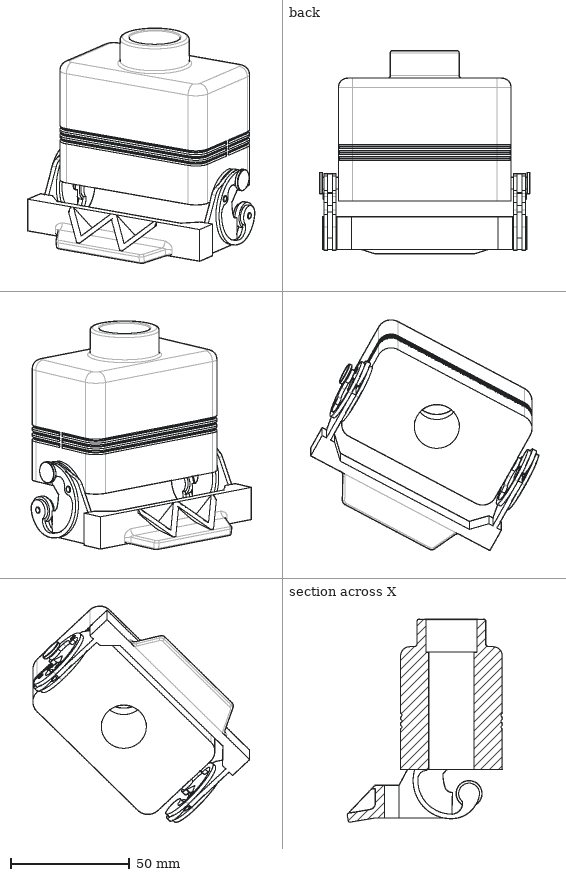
import cadquery as cq
import math

HOOD_LENGTH = 73.0
HOOD_WIDTH = 43.1
HOOD_HEIGHT = 52.0
HOOD_CORNER_RADIUS = 6.0
HOOD_TOP_RADIUS = 4.0

GROOVE_COUNT = 3
GROOVE_PITCH = 2.5
LOWEST_GROOVE_Z = 18.0
GROOVE_MOUTH = 1.7
GROOVE_FLOOR = 0.4
GROOVE_DEPTH = 0.6
GROOVE_GAP = 1.6

ENTRY_RADIUS = 14.6
ENTRY_HEIGHT = 11.6
ENTRY_ROUNDING = 1.0
BORE_RADIUS = 10.7
BORE_DEPTH = 14.0
BORE_EDGE_RADIUS = 0.4
HOLE_RADIUS = 9.5

PIVOT_Z = 7.6
PIN_RADIUS = 2.5
PIN_HEAD_RADIUS = 4.55
PIN_HEAD_THICKNESS = 1.4
PIN_HEAD_EDGE = 0.2
PIN_TIP_X = 44.5

BAR_LENGTH = 86.2
BAR_BACK_Y = -22.1
BAR_FRONT_Y = -32.2
BAR_TOP_Z = -6.5
BAR_BOTTOM_Z = -20.47
BAR_WEB = 4.0
BAR_END_LENGTH = 6.0

ARM_X = 40.0
ARM_THICKNESS = 2.0
HOOK_THICKNESS = 1.6
PIVOT_EYE_RADIUS = 4.0

HOOK_CENTER_Z = -4.58
HOOK_OUTER_RADIUS = PIVOT_Z + PIVOT_EYE_RADIUS - HOOK_CENTER_Z
HOOK_BAND = 2.0
HOOK_INNER_RADIUS = HOOK_OUTER_RADIUS - HOOK_BAND
HOOK_BOTTOM_Z = HOOK_CENTER_Z - HOOK_OUTER_RADIUS
HOOK_EYE_RADIUS = 4.4
HOOK_EYE = (7.45, -10.1)
THROAT_RADIUS = 4.7
HOOK_PIVOT_RADIUS = 3.0
ROLLER_RADIUS = 5.5
NECK_RADIUS = 3.3
NECK_Z = 6.5

BAND_END_ANGLE = 177

SHOULDER_START = (-13.6, 6.8)
SHOULDER_END = (-16.3, 4.4)
HEEL_BOTTOM = (0.2, BAR_BOTTOM_Z)
HEEL_TOP = (0.5, -9.6)
HEEL_MIDDLE = (-1.5, -9.0)
HEEL_END = (-2.6, -7.7)
MOUTH_MIDDLE = (-3.3, -4.8)
MOUTH_END = (-3.55, -1.8)
JAW = (1.2, 3.2)

RIVET = (-11.65, 2.0)
RIVET_BOSS_RADIUS = 2.5
RIVET_RADIUS = 1.35
RIVET_PROUD = 0.3
RIVET_EDGE = 0.2

TAB_TILT = 9.6
TAB_REACH = 11.49
TAB_THICKNESS = 4.0
TAB_ROOT_HALF_WIDTH = 27.4
TAB_TIP_HALF_WIDTH = 21.5
TAB_CORNER_RADIUS = 2.0
TAB_EDGE_RADIUS = 0.8
TAB_ROOT_FILLET = 2.6
TAB_ROOT_DEPTH = 1.5

RIB_PITCH = 21.5
RIB_SLOPE = 0.8
RIB_TIP_DROP = 10.1
RIB_NOTCH_DROP = 7.5
RIB_REACH = 11.1
RIB_FALL = 11.6

OVERLAP = 1.0
TOLERANCE = 0.01


def groove_ring(level):
    """Cutter along the hood outline, widest at the surface, open at the middle of both short sides."""
    mouth = GROOVE_MOUTH / 2
    floor = GROOVE_FLOOR / 2
    outline = (
        cq.Workplane("XY", origin=(0, 0, level))
        .sketch()
        .rect(HOOD_LENGTH, HOOD_WIDTH)
        .vertices()
        .fillet(HOOD_CORNER_RADIUS)
        .finalize()
    )
    path = outline.extrude(OVERLAP).faces("<Z").wires().val()
    start_plane = cq.Plane(origin=path.startPoint(), xDir=(0, 0, 1), normal=path.tangentAt(0))
    cutter = (
        cq.Workplane(start_plane)
        .polyline([
            (-mouth, 0), (-floor, GROOVE_DEPTH), (floor, GROOVE_DEPTH),
            (mouth, 0), (floor, -GROOVE_DEPTH), (-floor, -GROOVE_DEPTH),
        ])
        .close()
        .sweep(cq.Workplane(path))
    )
    gap = cq.Workplane("XY", origin=(0, 0, level)).box(2 * HOOD_LENGTH, GROOVE_GAP, 2 * GROOVE_MOUTH)
    return cutter.cut(gap)


def make_hood():
    hood = cq.Workplane("XY").rect(HOOD_LENGTH, HOOD_WIDTH).extrude(HOOD_HEIGHT)
    hood = hood.edges("|Z").fillet(HOOD_CORNER_RADIUS)
    hood = hood.faces(">Z").edges().fillet(HOOD_TOP_RADIUS)
    for index in range(GROOVE_COUNT):
        hood = hood.cut(groove_ring(LOWEST_GROOVE_Z + index * GROOVE_PITCH))
    return hood


def add_cable_entry(hood):
    """Round neck with a stepped through bore, blended into the hood top."""
    top = HOOD_HEIGHT + ENTRY_HEIGHT
    r = ENTRY_ROUNDING
    dip = r * (1 - math.sqrt(0.5))
    neck = (
        cq.Workplane("XZ")
        .moveTo(0, HOOD_HEIGHT - OVERLAP)
        .lineTo(ENTRY_RADIUS + r, HOOD_HEIGHT - OVERLAP)
        .lineTo(ENTRY_RADIUS + r, HOOD_HEIGHT)
        .threePointArc((ENTRY_RADIUS + dip, HOOD_HEIGHT + dip), (ENTRY_RADIUS, HOOD_HEIGHT + r))
        .lineTo(ENTRY_RADIUS, top - r)
        .threePointArc((ENTRY_RADIUS - dip, top - dip), (ENTRY_RADIUS - r, top))
        .lineTo(0, top)
        .close()
        .revolve(360, (0, 0, 0), (0, 1, 0))
    )
    bore = cq.Workplane("XY", origin=(0, 0, top - BORE_DEPTH)).circle(BORE_RADIUS).extrude(BORE_DEPTH)
    hole = cq.Workplane("XY").circle(HOLE_RADIUS).extrude(top)
    body = hood.union(neck).cut(bore).cut(hole)
    mouth = cq.selectors.RadiusNthSelector(0)
    return body.faces(">Z").edges(mouth).fillet(BORE_EDGE_RADIUS)


def side_plane(x):
    """Sketch plane facing +X: sketch coordinates are (Y, Z)."""
    return cq.Workplane("YZ", origin=(x, 0, 0))


def side_disc(center, radius, x_start, x_end):
    return side_plane(x_start).center(*center).circle(radius).extrude(x_end - x_start)


def on_circle(center, radius, angle):
    """Point at an angle in degrees, counted from +Y towards +Z."""
    a = math.radians(angle)
    return (center[0] + radius * math.cos(a), center[1] + radius * math.sin(a))


def hook_plate(x_start):
    """C-shaped hook: pivot eye, circular band with rivet boss, and eye at the free end."""
    center = (0, HOOK_CENTER_Z)
    x_end = x_start + HOOK_THICKNESS

    rise = HOOK_EYE[1] - HOOK_BOTTOM_Z
    sweep_radius = (HOOK_EYE[0] ** 2 + rise ** 2 - HOOK_EYE_RADIUS ** 2) / (2 * (rise - HOOK_EYE_RADIUS))
    sweep_center = (0, HOOK_BOTTOM_Z + sweep_radius)
    touch_angle = math.degrees(math.atan2(HOOK_EYE[1] - sweep_center[1], HOOK_EYE[0]))
    touch = on_circle(sweep_center, sweep_radius, touch_angle)

    throat_center = (0, HOOK_CENTER_Z - HOOK_INNER_RADIUS + THROAT_RADIUS)
    neck_center = (RIVET[0] + RIVET_BOSS_RADIUS + NECK_RADIUS, NECK_Z - NECK_RADIUS)
    band_start = on_circle(center, HOOK_INNER_RADIUS, BAND_END_ANGLE)
    band = (
        side_plane(x_start)
        .moveTo(0, PIVOT_Z + PIVOT_EYE_RADIUS)
        .threePointArc((-HOOK_OUTER_RADIUS, HOOK_CENTER_Z), (0, HOOK_BOTTOM_Z))
        .threePointArc(on_circle(sweep_center, sweep_radius, (touch_angle - 90) / 2), touch)
        .lineTo(*HOOK_EYE)
        .lineTo(THROAT_RADIUS, HOOK_EYE[1])
        .lineTo(THROAT_RADIUS, throat_center[1])
        .threePointArc(on_circle(throat_center, THROAT_RADIUS, -45),
                       (0, HOOK_CENTER_Z - HOOK_INNER_RADIUS))
        .threePointArc(on_circle(center, HOOK_INNER_RADIUS, 225), band_start)
        .tangentArcPoint(on_circle(RIVET, RIVET_BOSS_RADIUS, 270), relative=False)
        .threePointArc(on_circle(RIVET, RIVET_BOSS_RADIUS, 315), on_circle(RIVET, RIVET_BOSS_RADIUS, 0))
        .lineTo(neck_center[0] - NECK_RADIUS, neck_center[1])
        .threePointArc(on_circle(neck_center, NECK_RADIUS, 135), (neck_center[0], NECK_Z))
        .lineTo(0, NECK_Z)
        .close()
        .extrude(HOOK_THICKNESS)
    )
    pivot_eye = side_disc((0, PIVOT_Z), HOOK_PIVOT_RADIUS, x_start, x_end)
    free_eye = side_disc(HOOK_EYE, HOOK_EYE_RADIUS, x_start, x_end)
    return band.union(pivot_eye).union(free_eye)


def arm_plate(x_start):
    """Flat arm from the pivot eye to the bail bar."""
    drop = SHOULDER_START[1] - PIVOT_Z
    distance = math.hypot(SHOULDER_START[0], drop)
    direction = math.degrees(math.atan2(drop, SHOULDER_START[0])) % 360
    tangent_angle = direction - math.degrees(math.acos(PIVOT_EYE_RADIUS / distance))
    eye_top = on_circle((0, PIVOT_Z), PIVOT_EYE_RADIUS, tangent_angle)
    arm = (
        side_plane(x_start)
        .moveTo(*eye_top)
        .lineTo(*SHOULDER_START)
        .tangentArcPoint(SHOULDER_END, relative=False)
        .lineTo(BAR_BACK_Y, BAR_TOP_Z)
        .lineTo(BAR_BACK_Y - OVERLAP, BAR_TOP_Z)
        .lineTo(BAR_BACK_Y - OVERLAP, BAR_BOTTOM_Z)
        .lineTo(*HEEL_BOTTOM)
        .lineTo(*HEEL_TOP)
        .threePointArc(HEEL_MIDDLE, HEEL_END)
        .threePointArc(MOUTH_MIDDLE, MOUTH_END)
        .lineTo(*JAW)
        .lineTo(0, PIVOT_Z)
        .close()
        .extrude(ARM_THICKNESS)
    )
    eye = side_disc((0, PIVOT_Z), PIVOT_EYE_RADIUS, x_start, x_start + ARM_THICKNESS)
    return arm.union(eye)


def make_arm():
    inner = ARM_X - ARM_THICKNESS / 2
    outer = ARM_X + ARM_THICKNESS / 2
    face = outer + HOOK_THICKNESS
    arm = arm_plate(inner)
    arm = arm.union(side_disc(HOOK_EYE, ROLLER_RADIUS, inner, outer))
    arm = arm.union(hook_plate(inner - HOOK_THICKNESS)).union(hook_plate(outer))
    for spot in (RIVET, HOOK_EYE):
        rivet = side_disc(spot, RIVET_RADIUS, outer, face + RIVET_PROUD)
        arm = arm.union(rivet.faces(">X").chamfer(RIVET_EDGE))
    pin = side_disc((0, PIVOT_Z), PIN_RADIUS, HOOD_LENGTH / 2 - OVERLAP, PIN_TIP_X)
    head = side_disc((0, PIVOT_Z), PIN_HEAD_RADIUS, PIN_TIP_X - PIN_HEAD_THICKNESS, PIN_TIP_X)
    head = head.edges().chamfer(PIN_HEAD_EDGE)
    return arm.union(pin).union(head)


def make_bar():
    half = BAR_LENGTH / 2
    web_y = BAR_FRONT_Y + BAR_WEB
    foot = half - BAR_END_LENGTH
    bevel = BAR_BACK_Y - web_y
    return (
        cq.Workplane("XY", origin=(0, 0, BAR_BOTTOM_Z))
        .polyline([
            (-half, BAR_FRONT_Y), (half, BAR_FRONT_Y), (half, BAR_BACK_Y), (foot, BAR_BACK_Y),
            (foot - bevel, web_y), (bevel - foot, web_y), (-foot, BAR_BACK_Y), (-half, BAR_BACK_Y),
        ])
        .close()
        .extrude(BAR_TOP_Z - BAR_BOTTOM_Z)
    )


def tilt(shape, z):
    """Tip a shape downwards about the front face of the bar at height z."""
    return shape.rotate((0, BAR_FRONT_Y, z), (1, BAR_FRONT_Y, z), TAB_TILT)


def make_tab():
    """Trapezoid grip with rounded corners and edges, blended into the bar at its root.

    The grip is first made too deep, so that the blend runs past the underside of the
    bar, and is then trimmed along its own tilted underside.
    """
    excess = 2 * TAB_THICKNESS
    tip_y = BAR_FRONT_Y - TAB_REACH
    back_y = BAR_FRONT_Y + TAB_ROOT_DEPTH
    flare = (TAB_ROOT_HALF_WIDTH - TAB_TIP_HALF_WIDTH) / TAB_REACH
    back_half = TAB_ROOT_HALF_WIDTH + flare * TAB_ROOT_DEPTH
    tab = (
        cq.Workplane("XY", origin=(0, 0, BAR_BOTTOM_Z - excess))
        .polyline([
            (-back_half, back_y), (-TAB_TIP_HALF_WIDTH, tip_y),
            (TAB_TIP_HALF_WIDTH, tip_y), (back_half, back_y),
        ])
        .close()
        .extrude(TAB_THICKNESS + excess)
    )
    tab = tab.edges("|Z and <Y").fillet(TAB_CORNER_RADIUS)
    tab = tab.faces(">Z").edges("not >Y").fillet(TAB_EDGE_RADIUS)
    tab = tilt(tab, BAR_BOTTOM_Z)

    slab_half_length = TAB_ROOT_HALF_WIDTH + 2 * TAB_ROOT_FILLET
    slab_half_height = BAR_TOP_Z - BAR_BOTTOM_Z - OVERLAP
    slab = cq.Workplane("XY", origin=(0, BAR_FRONT_Y + BAR_WEB / 2, BAR_BOTTOM_Z)).box(
        2 * slab_half_length, BAR_WEB, 2 * slab_half_height)
    root = cq.selectors.BoxSelector(
        (-back_half, BAR_FRONT_Y - TOLERANCE, BAR_BOTTOM_Z - slab_half_height + TOLERANCE),
        (back_half, BAR_FRONT_Y + TOLERANCE, BAR_BOTTOM_Z + slab_half_height - TOLERANCE))
    tab = slab.union(tab).edges(root).fillet(TAB_ROOT_FILLET)

    underside = cq.Workplane("XY", origin=(0, BAR_FRONT_Y, BAR_BOTTOM_Z))
    above = underside.rect(BAR_LENGTH, BAR_LENGTH).extrude(BAR_LENGTH)
    tab = tab.intersect(tilt(above, BAR_BOTTOM_Z))
    rim = cq.selectors.BoxSelector(
        (-BAR_LENGTH, tip_y - OVERLAP, BAR_BOTTOM_Z - TAB_THICKNESS),
        (BAR_LENGTH, BAR_FRONT_Y - TAB_ROOT_FILLET, BAR_BOTTOM_Z + TAB_THICKNESS))
    return tab.faces("<Z").edges(rim).fillet(TAB_EDGE_RADIUS)


def make_rib():
    """Double-V rib running out above the tab, cut off by one sloping plane."""
    half = RIB_PITCH / 2
    tip_z = BAR_TOP_Z - RIB_TIP_DROP
    side_z = tip_z + half * RIB_SLOPE
    crown_z = BAR_TOP_Z + RIB_FALL
    web = (
        cq.Workplane("XZ", origin=(0, BAR_FRONT_Y + RIB_REACH, 0))
        .polyline([
            (-RIB_PITCH, crown_z), (-RIB_PITCH, side_z), (-half, tip_z), (0, side_z),
            (half, tip_z), (RIB_PITCH, side_z), (RIB_PITCH, crown_z),
        ])
        .close()
        .extrude(3 * RIB_REACH)
    )
    notch_z = BAR_TOP_Z - RIB_NOTCH_DROP
    notch_half = RIB_NOTCH_DROP / RIB_SLOPE
    for center in (-half, half):
        notch = (
            cq.Workplane("XZ", origin=(0, BAR_FRONT_Y + RIB_REACH, 0))
            .polyline([
                (center, notch_z), (center - notch_half, BAR_TOP_Z), (center - notch_half, crown_z),
                (center + notch_half, crown_z), (center + notch_half, BAR_TOP_Z),
            ])
            .close()
            .extrude(3 * RIB_REACH)
        )
        web = web.cut(notch)
    wedge = (
        cq.Workplane("YZ", origin=(-RIB_PITCH, 0, 0))
        .polyline([
            (BAR_FRONT_Y, BAR_TOP_Z), (BAR_FRONT_Y - RIB_REACH, BAR_TOP_Z - RIB_FALL),
            (BAR_FRONT_Y, BAR_TOP_Z - RIB_FALL),
        ])
        .close()
        .extrude(2 * RIB_PITCH)
    )
    return tilt(web, BAR_TOP_Z).intersect(wedge)


def make_bail():
    return make_bar().union(make_tab()).union(make_rib())


arm = make_arm()
result = (
    add_cable_entry(make_hood())
    .union(make_bail())
    .union(arm)
    .union(arm.mirror("YZ"))
)